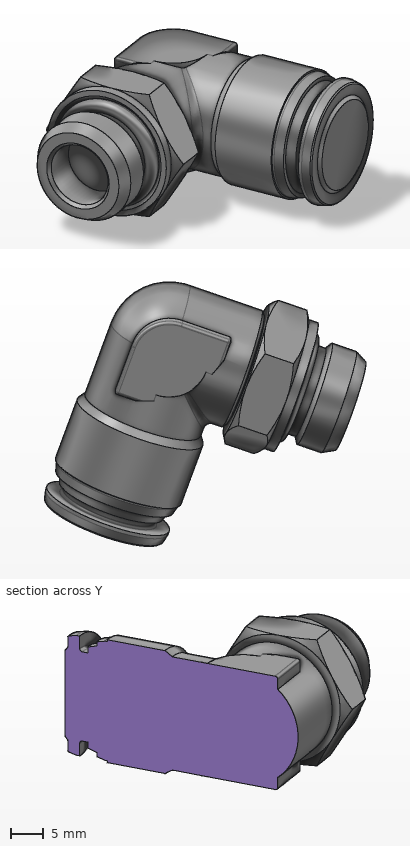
import cadquery as cq
import math


BODY_RADIUS = 9.5
BODY_BOTTOM_Y = -12.35
BODY_CHAMFER = 0.5
CROTCH_RADIUS = 1.2
SWIVEL_RADIUS = 8.1

PAD_RADIUS = 6.0
PAD_REACH = 8.05
PAD_TIP_REACH = 7.0
PAD_TIP_WIDTH = 2.75
PAD_EDGE_RADIUS = 0.45
PAD_CORNER_RADIUS = 0.35

SOCKET_RADIUS = 10.3
SOCKET_TAPER_START = 12.05
SOCKET_START = 13.25
SOCKET_END = 23.17
CAP_TAPER_START = 23.5
CAP_END = 24.95
CAP_RADII = (10.0, 9.6)
NOSE_END = 26.5
NOSE_RADII = (8.95, 8.45)
RING_NECK_RADIUS = 7.5
RING_FILLET = 0.43
FLANGE_START = 27.85
FLANGE_RADIUS = 10.05
FLANGE_TAPER_START = 28.4
FLANGE_END = 29.95
FLANGE_END_RADIUS = 9.75
FLANGE_EDGE_CHAMFER = 0.2
TIP_X = 30.4
TIP_RADII = (7.8, 7.2)

NUT_SIDES = 6
NUT_ACROSS_FLATS = 21.0
NUT_TOP_Y = -12.55
NUT_BOTTOM_Y = -19.05
NUT_CHAMFER_ANGLE = 30
COLLAR_BOTTOM_Y = -20.6
RECESS_RADIUS = 9.55

SEAL_SECTION_RADIUS = 1.15
SEAL_OUTER_RADIUS = 8.97
SEAL_BOTTOM_Y = -21.6

STEM_NECK_RADIUS = 7.2
THREAD_RADIUS = 8.25
THREAD_TAPER_START_Y = -23.05
THREAD_START_Y = -23.73
THREAD_END_Y = -27.65
STEM_END_Y = -29.55
STEM_END_RADIUS = 7.23
BORE_RADIUS = 5.0
BORE_MOUTH_RADIUS = 5.53
BORE_DEPTH = 5.83

nut_flat_radius = NUT_ACROSS_FLATS / 2
nut_corner_radius = nut_flat_radius / math.cos(math.pi / NUT_SIDES)
nut_chamfer_height = (nut_corner_radius - nut_flat_radius) * math.tan(math.radians(NUT_CHAMFER_ANGLE))
seal_center_radius = SEAL_OUTER_RADIUS - SEAL_SECTION_RADIUS
seal_center_y = SEAL_BOTTOM_Y + SEAL_SECTION_RADIUS

seal_contact_offset = SEAL_SECTION_RADIUS * math.sqrt(0.5)


def turned_along_x(profile):
    """Revolve (x, radius) points about the X axis, closing the outline on the axis."""
    outline = [(profile[0][0], 0)] + profile + [(profile[-1][0], 0)]
    return cq.Workplane("XY").polyline(outline).close().revolve(360, (0, 0, 0), (1, 0, 0))


def turned_along_y(profile):
    """Revolve (radius, y) points about the Y axis, closing the outline on the axis."""
    outline = [(0, profile[0][1])] + profile + [(0, profile[-1][1])]
    return cq.Workplane("XY").polyline(outline).close().revolve(360, (0, 0, 0), (0, 1, 0))


def make_body():
    """Two equal cylinders joined by a ball, with a rounded inner crotch."""
    branch = turned_along_x([(0, BODY_RADIUS), (SOCKET_TAPER_START, BODY_RADIUS)])
    leg = turned_along_y([
        (BODY_RADIUS, 0),
        (BODY_RADIUS, BODY_BOTTOM_Y + BODY_CHAMFER),
        (BODY_RADIUS - BODY_CHAMFER, BODY_BOTTOM_Y),
    ])
    ball = cq.Workplane("XY").sphere(BODY_RADIUS)
    body = branch.union(leg).union(ball)
    crotch_edges = body.edges("%ELLIPSE")
    return crotch_edges.fillet(CROTCH_RADIUS)


def make_pads():
    """Pads whose outer faces touch the tops of the cylinders, rounded along the outer rim only."""
    arc_middle = PAD_RADIUS * math.sqrt(0.5)
    pads = (
        cq.Workplane("XY")
        .moveTo(-PAD_RADIUS, 0)
        .threePointArc((-arc_middle, arc_middle), (0, PAD_RADIUS))
        .lineTo(PAD_REACH, PAD_RADIUS)
        .lineTo(PAD_REACH, PAD_TIP_WIDTH)
        .lineTo(PAD_TIP_REACH, 0)
        .lineTo(PAD_RADIUS, 0)
        .threePointArc((arc_middle, -arc_middle), (0, -PAD_RADIUS))
        .lineTo(0, -PAD_TIP_REACH)
        .lineTo(-PAD_TIP_WIDTH, -PAD_REACH)
        .lineTo(-PAD_RADIUS, -PAD_REACH)
        .close()
        .extrude(BODY_RADIUS, both=True)
    )
    outer_corners = [(PAD_REACH, PAD_RADIUS, 0), (-PAD_RADIUS, -PAD_REACH, 0)]
    for corner in outer_corners:
        pads = pads.edges(cq.selectors.NearestToPointSelector(corner)).fillet(PAD_CORNER_RADIUS)
    for face_z in (-BODY_RADIUS, BODY_RADIUS):
        outer_rim = cq.selectors.NearestToPointSelector((PAD_REACH / 2, PAD_RADIUS, face_z))
        pads = pads.edges(outer_rim).fillet(PAD_EDGE_RADIUS)
    return pads


def make_socket():
    """Tube socket with its stepped cap and nose."""
    return turned_along_x([
        (SOCKET_TAPER_START, BODY_RADIUS),
        (SOCKET_START, SOCKET_RADIUS),
        (SOCKET_END, SOCKET_RADIUS),
        (SOCKET_END, CAP_RADII[0]),
        (CAP_TAPER_START, CAP_RADII[0]),
        (CAP_END, CAP_RADII[1]),
        (CAP_END, NOSE_RADII[0]),
        (NOSE_END, NOSE_RADII[1]),
    ])


def make_release_ring():
    """Flanged ring standing out of the socket, with a rounded root under its flange."""
    root_middle = RING_FILLET * (1 - math.sqrt(0.5))
    return (
        cq.Workplane("XY")
        .moveTo(NOSE_END, 0)
        .lineTo(NOSE_END, RING_NECK_RADIUS)
        .lineTo(FLANGE_START - RING_FILLET, RING_NECK_RADIUS)
        .threePointArc(
            (FLANGE_START - root_middle, RING_NECK_RADIUS + root_middle),
            (FLANGE_START, RING_NECK_RADIUS + RING_FILLET),
        )
        .lineTo(FLANGE_START, FLANGE_RADIUS)
        .lineTo(FLANGE_TAPER_START, FLANGE_RADIUS)
        .lineTo(FLANGE_END - FLANGE_EDGE_CHAMFER, FLANGE_END_RADIUS)
        .lineTo(FLANGE_END, FLANGE_END_RADIUS - FLANGE_EDGE_CHAMFER)
        .lineTo(FLANGE_END, TIP_RADII[0])
        .lineTo(TIP_X, TIP_RADII[1])
        .lineTo(TIP_X, 0)
        .close()
        .revolve(360, (0, 0, 0), (1, 0, 0))
    )


def make_nut():
    """Hexagon with corners along X, chamfered on both ends by a cone."""
    hexagon = (
        cq.Workplane("XZ", origin=(0, NUT_TOP_Y, 0))
        .polygon(NUT_SIDES, 2 * nut_corner_radius)
        .extrude(NUT_TOP_Y - NUT_BOTTOM_Y)
    )
    chamfer_envelope = turned_along_y([
        (nut_flat_radius, NUT_TOP_Y),
        (nut_corner_radius, NUT_TOP_Y - nut_chamfer_height),
        (nut_corner_radius, NUT_BOTTOM_Y + nut_chamfer_height),
        (nut_flat_radius, NUT_BOTTOM_Y),
    ])
    return hexagon.intersect(chamfer_envelope)


def make_collar():
    """Round collar under the nut, dished to seat the sealing ring."""
    collar = turned_along_y([(nut_flat_radius, NUT_BOTTOM_Y), (nut_flat_radius, COLLAR_BOTTOM_Y)])
    recess = turned_along_y([
        (RECESS_RADIUS, COLLAR_BOTTOM_Y),
        (seal_center_radius + seal_contact_offset, seal_center_y + seal_contact_offset),
    ])
    return collar.cut(recess)


def make_seal():
    """Sealing ring pressed around the stem neck."""
    return (
        cq.Workplane("XY")
        .center(seal_center_radius, seal_center_y)
        .circle(SEAL_SECTION_RADIUS)
        .revolve(360, (-seal_center_radius, 0, 0), (-seal_center_radius, 1, 0))
    )


def make_stem():
    """Swivel neck above the nut and the threaded stem below it, with a blind bore."""
    swivel = turned_along_y([(SWIVEL_RADIUS, BODY_BOTTOM_Y), (SWIVEL_RADIUS, NUT_TOP_Y)])
    stem = turned_along_y([
        (STEM_NECK_RADIUS, NUT_BOTTOM_Y),
        (STEM_NECK_RADIUS, THREAD_TAPER_START_Y),
        (THREAD_RADIUS, THREAD_START_Y),
        (THREAD_RADIUS, THREAD_END_Y),
        (STEM_END_RADIUS, STEM_END_Y),
    ])
    bore = turned_along_y([
        (BORE_MOUTH_RADIUS, STEM_END_Y),
        (BORE_RADIUS, STEM_END_Y + BORE_MOUTH_RADIUS - BORE_RADIUS),
        (BORE_RADIUS, STEM_END_Y + BORE_DEPTH),
    ])
    return swivel.union(stem.cut(bore))


result = (
    make_body()
    .union(make_pads())
    .union(make_socket())
    .union(make_release_ring())
    .union(make_stem())
    .union(make_nut())
    .union(make_collar())
    .union(make_seal())
)